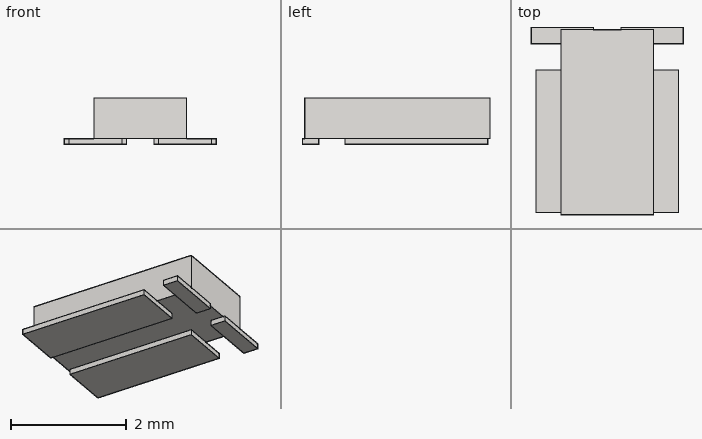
import cadquery as cq

total_width = 2.63
total_length = 3.24
total_height = 0.8

pad_thickness = 0.1
rear_pad_gap = 0.473
rear_pad_length = 0.285
front_pad_outer_width = 2.462
front_pad_gap = 0.63
front_pad_length = 2.47
front_pad_inset = 0.04

housing_width = 1.6
housing_length = 3.2
housing_height = total_height - pad_thickness

rear_pad_width = (total_width - rear_pad_gap) / 2
front_pad_width = (front_pad_outer_width - front_pad_gap) / 2


def block(width, length, height, center_x, front_y, bottom_z):
    """Plain box placed by its centre in X, front face in Y and underside in Z."""
    box = cq.Workplane("XY").box(width, length, height, centered=(True, False, False))
    return box.translate((center_x, front_y, bottom_z))


def make_housing():
    return block(housing_width, housing_length, housing_height, 0, 0, pad_thickness)


def make_front_pad(side):
    """Long pad under one side of the housing; side is -1 or +1."""
    center_x = side * (front_pad_gap + front_pad_width) / 2
    return block(front_pad_width, front_pad_length, pad_thickness, center_x, front_pad_inset, 0)


def make_rear_pad(side):
    """Short pad that projects slightly behind the housing; side is -1 or +1."""
    center_x = side * (rear_pad_gap + rear_pad_width) / 2
    front_y = total_length - rear_pad_length
    return block(rear_pad_width, rear_pad_length, pad_thickness, center_x, front_y, 0)


housing = make_housing()
front_pads = [make_front_pad(side) for side in (-1, 1)]
rear_pads = [make_rear_pad(side) for side in (-1, 1)]

result = cq.Compound.makeCompound(
    [housing.val(), *[pad.val() for pad in front_pads], *[pad.val() for pad in rear_pads]]
)